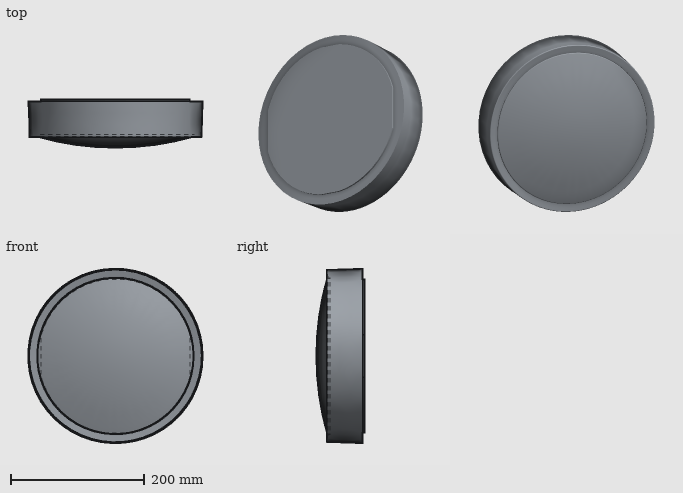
import cadquery as cq
import math


plate_radius = 116.0
plate_thickness = 3.2
plate_width_x = 223.0
plate_width_z = 229.8

housing_back_radius = 130.85
housing_front_radius = 129.1
housing_depth = 54.0
rim_fillet = 1.2
face_dip = 1.6

opening_radius = 117.4
seat_depth = 5.0

diffuser_radius = 116.8
diffuser_fillet = 1.1
dome_rise = 15.57
edge_setback = 0.9

housing_back_y = 0.0
housing_front_y = housing_back_y - housing_depth
opening_y = housing_front_y + face_dip
seat_y = housing_front_y + seat_depth
dome_apex_y = housing_front_y - dome_rise
dome_edge_y = housing_front_y + edge_setback
AXIS_START = (0, 0)
AXIS_END = (0, 1)


def make_back_plate():
    """Disc trimmed by a centred rectangle, which leaves a flat on each side."""
    back_plane = cq.Workplane("XZ", origin=(0, housing_back_y, 0))
    disc = back_plane.circle(plate_radius).extrude(-plate_thickness)
    trim = back_plane.rect(plate_width_x, plate_width_z).extrude(-plate_thickness)
    return disc.intersect(trim)


def make_housing():
    """Tapered drum with a rounded front rim, a dished front face and a round seat for the diffuser."""
    drum = (
        cq.Workplane("XY")
        .moveTo(0, housing_back_y)
        .lineTo(housing_back_radius, housing_back_y)
        .lineTo(housing_front_radius, housing_front_y)
        .lineTo(opening_radius, opening_y)
        .lineTo(opening_radius, seat_y)
        .lineTo(0, seat_y)
        .close()
        .revolve(360, AXIS_START, AXIS_END)
    )
    return drum.edges("<Y").fillet(rim_fillet)


def make_diffuser():
    """Spherical dome on a cylindrical edge with a rounded rim, resting on the seat floor."""
    sagitta = dome_edge_y - dome_apex_y
    sphere_radius = (diffuser_radius**2 + sagitta**2) / (2 * sagitta)
    arc_mid_x = diffuser_radius / 2
    arc_mid_y = dome_apex_y + sphere_radius - math.sqrt(sphere_radius**2 - arc_mid_x**2)
    dome = (
        cq.Workplane("XY")
        .moveTo(0, seat_y)
        .lineTo(diffuser_radius, seat_y)
        .lineTo(diffuser_radius, dome_edge_y)
        .threePointArc((arc_mid_x, arc_mid_y), (0, dome_apex_y))
        .close()
        .revolve(360, AXIS_START, AXIS_END)
    )
    return dome.faces("%CYLINDER").edges("<Y").fillet(diffuser_fillet)


back_plate = make_back_plate()
housing = make_housing()
diffuser = make_diffuser()
result = cq.Compound.makeCompound([back_plate.val(), housing.val(), diffuser.val()])